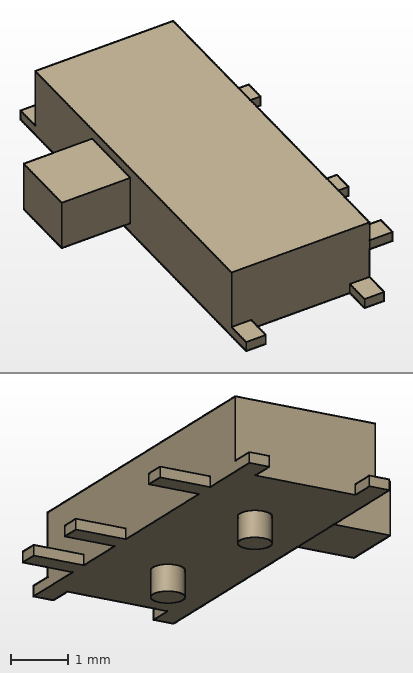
import cadquery as cq

overall_length = 7.7
side_tab_length = 0.5
body_length = overall_length - 2 * side_tab_length
body_depth = 2.8
body_height = 1.4

terminal_width = 0.4
terminal_thickness = 0.2
rear_pin_length = 1.0
rear_pin_pitch = 1.5
rear_pin_positions = [-1.5 * rear_pin_pitch, 0.5 * rear_pin_pitch, 1.5 * rear_pin_pitch]

knob_width = 1.3
knob_reach = 1.39
knob_height = 1.0
knob_x = -rear_pin_pitch / 2

peg_diameter = 0.6
peg_length = 0.5
peg_spacing = 3.1


def block(size_x, size_y, size_z, center_x, center_y, bottom_z=0):
    """Box centred in X and Y on the given point, rising from bottom_z."""
    return (
        cq.Workplane("XY")
        .box(size_x, size_y, size_z, centered=(True, True, False))
        .translate((center_x, center_y, bottom_z))
    )


result = block(body_length, body_depth, body_height, 0, 0)

side_tab_y = (body_depth - terminal_width) / 2
for y in (-side_tab_y, side_tab_y):
    result = result.union(block(overall_length, terminal_width, terminal_thickness, 0, y))

rear_pin_y = (body_depth + rear_pin_length) / 2
for x in rear_pin_positions:
    result = result.union(block(terminal_width, rear_pin_length, terminal_thickness, x, rear_pin_y))

knob_y = -(body_depth + knob_reach) / 2
knob_bottom = (body_height - knob_height) / 2
result = result.union(block(knob_width, knob_reach, knob_height, knob_x, knob_y, knob_bottom))

pegs = (
    cq.Workplane("XY")
    .pushPoints([(-peg_spacing / 2, 0), (peg_spacing / 2, 0)])
    .circle(peg_diameter / 2)
    .extrude(-peg_length)
)
result = result.union(pegs)